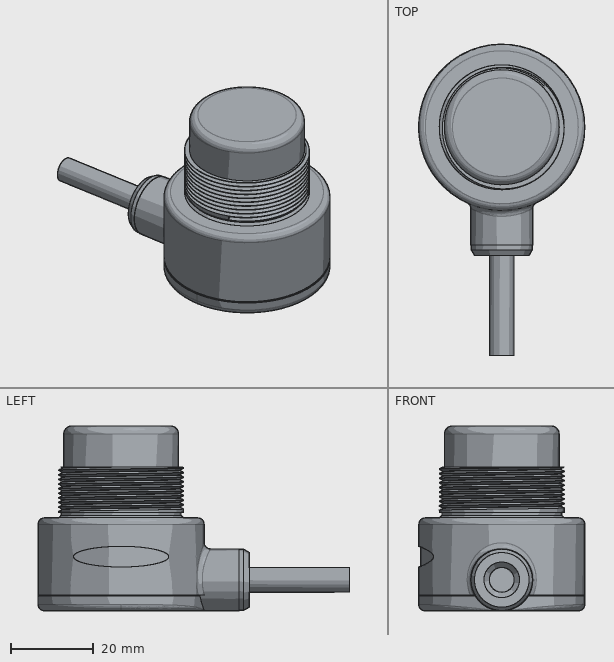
import cadquery as cq
import math

TOTAL_HEIGHT = 44.7
CABLE_END_Y = -55.17

HOUSING_RADIUS = 20.09
HOUSING_TOP = 22.5
HOUSING_ROUND = 1.6
BASE_RADIUS = HOUSING_RADIUS
BASE_HEIGHT = 3.8
JOINT_GROOVE_WIDTH = 0.25
JOINT_GROOVE_DEPTH = 0.2
BASE_ROUND = 1.55
BASE_ROUND_END_ANGLE = 85.0
BASE_ROUND_END_RADIUS = 0.05
BASE_ROUND_SECTIONS = 8

BADGE_LENGTH = 23.0
BADGE_HEIGHT = 5.0
BADGE_Z = 13.1
BADGE_DEPTH = 0.5

NECK_RADIUS = 14.5
NECK_FLARE = 0.6
THREAD_RADIUS = 15.1
THREAD_ROOT_RADIUS = 14.3
THREAD_PITCH = 1.11
THREAD_BOTTOM = 23.8
THREAD_TOP = 34.7
CREST_WIDTH = 0.12
ROOT_WIDTH = 0.15
GROOVE_START_Z = 24.32
GROOVE_START_ANGLE = 20.0
NOSE_RADIUS = 13.9
NOSE_ROUND = 2.0

BOSS_RADIUS = 7.5
BOSS_AXIS_Z = BOSS_RADIUS
BOSS_FILLET = 1.45
COLLAR_RADIUS = 7.4
COLLAR_START = 28.5
CHAMFER_START = 29.6
BOSS_END = 31.0
BOSS_FACE_RADIUS = 6.6
BORE_MOUTH_RADIUS = 4.3
CABLE_RADIUS = 3.0
BORE_DEPTH = BORE_MOUTH_RADIUS - CABLE_RADIUS

OVERLAP = 1.0
CUT_TOLERANCE = 1e-4


def disc(radius, bottom, top):
    return cq.Workplane("XY").workplane(offset=bottom).circle(radius).extrude(top - bottom)


def along_outlet(radius, start, end):
    """Cylinder on the outlet axis, between two distances measured along -Y."""
    plane = cq.Plane(origin=(0, -start, BOSS_AXIS_Z), xDir=(1, 0, 0), normal=(0, -1, 0))
    return cq.Workplane(plane).circle(radius).extrude(end - start)


def make_outlet_boss():
    """Stepped boss with a chamfered end, revolved about the outlet axis."""
    profile = (
        cq.Workplane("XY", origin=(0, 0, BOSS_AXIS_Z))
        .moveTo(0, 0)
        .lineTo(BOSS_RADIUS, 0)
        .lineTo(BOSS_RADIUS, -COLLAR_START)
        .lineTo(COLLAR_RADIUS, -COLLAR_START)
        .lineTo(COLLAR_RADIUS, -CHAMFER_START)
        .lineTo(BOSS_FACE_RADIUS, -BOSS_END)
        .lineTo(0, -BOSS_END)
        .close()
    )
    return profile.revolve(360, (0, 0, 0), (0, 1, 0))


def make_housing():
    """Round body blended into the boss, kept only above the base disc."""
    body = disc(HOUSING_RADIUS, -OVERLAP, HOUSING_TOP).faces(">Z").edges().fillet(HOUSING_ROUND)
    blended = body.union(along_outlet(BOSS_RADIUS, 0, COLLAR_START))
    joint = cq.selectors.BoxSelector(
        (-BOSS_RADIUS - OVERLAP, -HOUSING_RADIUS - OVERLAP, -OVERLAP / 2),
        (BOSS_RADIUS + OVERLAP, -HOUSING_RADIUS / 2, 2 * BOSS_RADIUS + OVERLAP),
    )
    blended = blended.edges(joint).fillet(BOSS_FILLET)
    keep = disc(2 * HOUSING_RADIUS, BASE_HEIGHT, HOUSING_TOP)
    return blended.intersect(keep)


def make_badge_recess():
    """Oval pocket of constant depth in the curved wall."""
    oval = (
        cq.Workplane("YZ", origin=(-HOUSING_RADIUS - OVERLAP, 0, BADGE_Z))
        .ellipse(BADGE_LENGTH / 2, BADGE_HEIGHT / 2)
        .extrude(HOUSING_RADIUS)
    )
    return oval.cut(disc(HOUSING_RADIUS - BADGE_DEPTH, 0, HOUSING_TOP))


def base_round_section(angle, radius):
    """Wire around the material a rounding of this radius removes from the base rim."""
    plane = cq.Plane(
        origin=(0, 0, 0),
        xDir=(math.cos(math.radians(angle)), math.sin(math.radians(angle)), 0),
        normal=(math.sin(math.radians(angle)), -math.cos(math.radians(angle)), 0),
    )
    inset = radius * (1 - math.sqrt(0.5))
    outside = BASE_RADIUS + OVERLAP
    section = (
        cq.Workplane(plane)
        .moveTo(BASE_RADIUS, radius)
        .threePointArc((BASE_RADIUS - inset, inset), (BASE_RADIUS - radius, 0))
        .lineTo(BASE_RADIUS - radius, -OVERLAP)
        .lineTo(outside, -OVERLAP)
        .lineTo(outside, radius)
        .close()
    )
    return section.val()


def make_base():
    """Base disc whose rim rounding is constant at the back and fades out towards the boss.

    The joint groove is cut into its top edge.
    """
    base = disc(BASE_RADIUS, 0, BASE_HEIGHT)
    rounded = base.faces("<Z").edges().fillet(BASE_ROUND)
    back = cq.Workplane("XY").rect(4 * BASE_RADIUS, 2 * BASE_RADIUS).extrude(BASE_HEIGHT)
    back = back.translate((0, BASE_RADIUS, 0))

    sections = []
    for index in range(BASE_ROUND_SECTIONS + 1):
        share = index / BASE_ROUND_SECTIONS
        radius = BASE_ROUND_END_RADIUS + (BASE_ROUND - BASE_ROUND_END_RADIUS) * (1 - share**3)
        sections.append(base_round_section(-share * BASE_ROUND_END_ANGLE, radius))
    fading_round = cq.Workplane(cq.Solid.makeLoft(sections))

    front = base.cut(back).cut(fading_round).cut(fading_round.mirror("YZ"))
    joint_bottom = BASE_HEIGHT - JOINT_GROOVE_WIDTH
    joint_groove = disc(BASE_RADIUS + OVERLAP, joint_bottom, BASE_HEIGHT).cut(
        disc(BASE_RADIUS - JOINT_GROOVE_DEPTH, joint_bottom, BASE_HEIGHT)
    )
    return front.union(rounded.intersect(back)).cut(joint_groove)


def make_thread_groove():
    """Right-handed V groove swept along a helix, running out above the thread."""
    turns_height = THREAD_TOP + THREAD_PITCH - GROOVE_START_Z
    path = cq.Wire.makeHelix(THREAD_PITCH, turns_height, THREAD_ROOT_RADIUS)
    half_mouth = (THREAD_PITCH - CREST_WIDTH) / 2
    half_root = ROOT_WIDTH / 2
    groove = (
        cq.Workplane("XZ")
        .moveTo(THREAD_ROOT_RADIUS, -half_root)
        .lineTo(THREAD_RADIUS, -half_mouth)
        .lineTo(THREAD_RADIUS + OVERLAP, -half_mouth)
        .lineTo(THREAD_RADIUS + OVERLAP, half_mouth)
        .lineTo(THREAD_RADIUS, half_mouth)
        .lineTo(THREAD_ROOT_RADIUS, half_root)
        .close()
        .sweep(cq.Workplane(path), isFrenet=True)
    )
    groove = groove.rotate((0, 0, 0), (0, 0, 1), GROOVE_START_ANGLE)
    return groove.translate((0, 0, GROOVE_START_Z))


def make_barrel():
    """Flared neck, thread and round-edged nose, revolved about Z before the groove is cut."""
    round_mid = NOSE_ROUND * (1 - math.sqrt(0.5))
    profile = (
        cq.Workplane("XZ")
        .moveTo(0, HOUSING_TOP - OVERLAP)
        .lineTo(NECK_RADIUS + NECK_FLARE, HOUSING_TOP - OVERLAP)
        .lineTo(NECK_RADIUS + NECK_FLARE, HOUSING_TOP)
        .lineTo(NECK_RADIUS, HOUSING_TOP + NECK_FLARE)
        .lineTo(NECK_RADIUS, THREAD_BOTTOM)
        .lineTo(THREAD_RADIUS, THREAD_BOTTOM)
        .lineTo(THREAD_RADIUS, THREAD_TOP)
        .lineTo(NOSE_RADIUS, THREAD_TOP)
        .lineTo(NOSE_RADIUS, TOTAL_HEIGHT - NOSE_ROUND)
        .threePointArc(
            (NOSE_RADIUS - round_mid, TOTAL_HEIGHT - round_mid),
            (NOSE_RADIUS - NOSE_ROUND, TOTAL_HEIGHT),
        )
        .lineTo(0, TOTAL_HEIGHT)
        .close()
    )
    stock = profile.revolve(360, (0, 0, 0), (0, 1, 0))
    return stock.cut(make_thread_groove(), tol=CUT_TOLERANCE)


def make_bore():
    """Conical mouth around the cable in the end face of the boss."""
    cone = cq.Solid.makeCone(
        CABLE_RADIUS,
        BORE_MOUTH_RADIUS,
        BORE_DEPTH,
        pnt=cq.Vector(0, BORE_DEPTH - BOSS_END, BOSS_AXIS_Z),
        dir=cq.Vector(0, -1, 0),
    )
    return cq.Workplane(cone)


cable = along_outlet(CABLE_RADIUS, BOSS_END - 2 * BORE_DEPTH, -CABLE_END_Y)

result = (
    make_housing()
    .cut(make_badge_recess())
    .union(make_base())
    .union(make_outlet_boss())
    .cut(make_bore())
    .union(cable)
    .union(make_barrel())
)